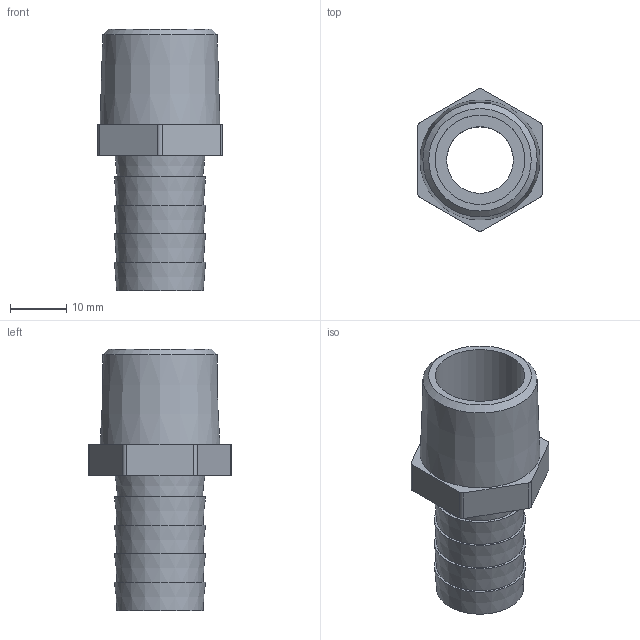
import cadquery as cq
import math

total_height = 46.69
barb_count = 4
barb_pitch = 5.08
neck_length = 3.81
hex_height = 5.59
lead_in_height = 1.0

hex_bottom = barb_count * barb_pitch + neck_length
hex_top = hex_bottom + hex_height
lead_in_bottom = total_height - lead_in_height

barb_small_radius = 7.71
barb_large_radius = 8.13
neck_bottom_radius = 7.62
neck_top_radius = 8.04

hex_across_flats = 22.23
hex_corner_radius = 0.762

taper_slope = 1 / 32
taper_top_radius = 10.20
taper_bottom_radius = taper_top_radius + (lead_in_bottom - hex_top) * taper_slope
rim_radius = 9.15

wide_bore_radius = 7.98
narrow_bore_radius = 5.95
wide_bore_depth = total_height - hex_top


def cone(bottom_z, top_z, bottom_radius, top_radius):
    """Solid frustum about the Z axis."""
    return (
        cq.Workplane("XZ")
        .moveTo(0, bottom_z)
        .lineTo(bottom_radius, bottom_z)
        .lineTo(top_radius, top_z)
        .lineTo(0, top_z)
        .close()
        .revolve(360, (0, 0, 0), (0, 1, 0))
    )


def hexagon():
    """Wrench section with flats facing +X and -X and rounded vertical edges."""
    across_corners = hex_across_flats / math.cos(math.radians(30))
    return (
        cq.Workplane("XY")
        .polygon(6, across_corners)
        .extrude(hex_height)
        .edges("|Z")
        .fillet(hex_corner_radius)
        .rotate((0, 0, 0), (0, 0, 1), 30)
        .translate((0, 0, hex_bottom))
    )


def hose_end():
    """Stack of barbs with a plain flared neck under the hexagon."""
    neck_bottom = barb_count * barb_pitch
    stem = cone(neck_bottom, hex_bottom, neck_bottom_radius, neck_top_radius)
    for index in range(barb_count):
        barb_bottom = index * barb_pitch
        barb_top = barb_bottom + barb_pitch
        stem = stem.union(cone(barb_bottom, barb_top, barb_small_radius, barb_large_radius))
    return stem


def pipe_end():
    """Tapered pipe section with a chamfered lead-in at the rim."""
    taper = cone(hex_top, lead_in_bottom, taper_bottom_radius, taper_top_radius)
    lead_in = cone(lead_in_bottom, total_height, taper_top_radius, rim_radius)
    return taper.union(lead_in)


def bores():
    """Stepped passage through the whole fitting."""
    narrow_bore = cq.Workplane("XY").circle(narrow_bore_radius).extrude(total_height)
    wide_bore = (
        cq.Workplane("XY")
        .workplane(offset=total_height - wide_bore_depth)
        .circle(wide_bore_radius)
        .extrude(wide_bore_depth)
    )
    return narrow_bore.union(wide_bore)


result = hose_end().union(hexagon()).union(pipe_end()).cut(bores())